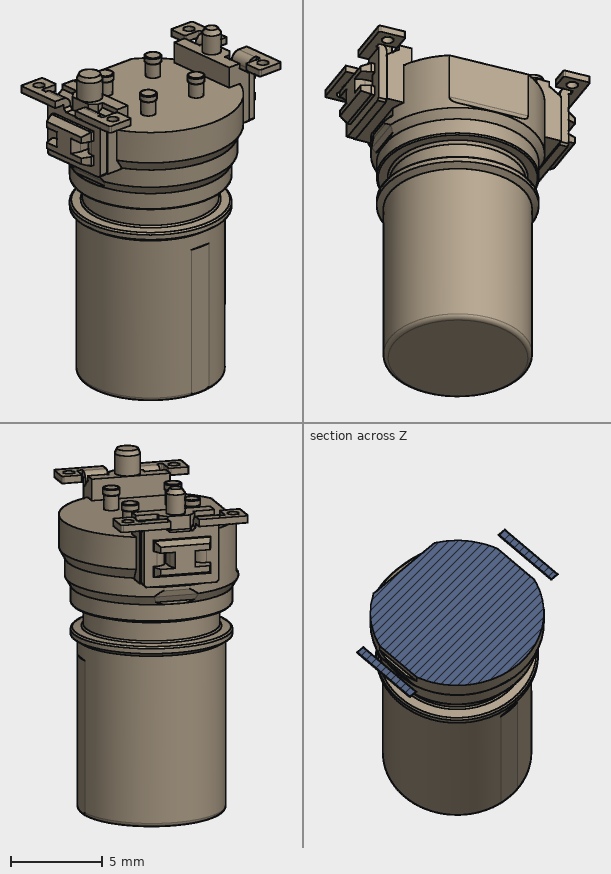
import cadquery as cq
import math

total_height = 19.35
barrel_radius = 4.09
barrel_edge_round = 0.25
flat_distance = 4.04
flat_top_z = 8.88
flange_radius = 4.46
flange_bottom_z = 9.73
flange_rim_z = 9.97
flange_top_z = 10.35
flange_top_chamfer = 0.1
neck_radius = 3.76
neck_corner = 0.1
neck_bottom_z = 10.41
collar_bottom_z = 11.75
collar_chamfer = 0.08
cone_bottom_z = 12.75
cone_top_z = 13.28
head_radius = 4.78
head_top_z = 16.73

big_radius = 5.10
big_cone_bottom_z = 14.32
big_cone_top_z = 14.90

side_flat_distance = 4.15
side_flat_bottom_z = 14.02
runout_radius = 0.55
runout_turn = math.radians(56)

recess_half_width = 1.52
recess_distance = 4.56
recess_bottom_z = 13.82
pad_distance = 4.72
pad_bottom_z = 13.62
pad_cone_distance = 4.61
pad_foot_distance = 4.42
pad_foot_z = 12.91

pin_circle_radius = 2.5
pin_offset = pin_circle_radius / math.sqrt(2)
pin_radius = 0.415
pin_head_radius = 0.475
pin_head_height = 0.40
pin_edge_chamfer = 0.05

clip_center_x = 0.03
clip_top_z = 17.95
block_half_width = 2.25
block_inner_y = 3.75
block_bottom_z = 14.27
notch_inner_y = 4.53
notch_floor_z = 17.66
notch_outer_z = 17.17
tongue_half_width = 1.03
tongue_chamfer = 0.38

plate_inner_y = 5.23
plate_outer_y = 5.72
plate_half_width = 2.15
plate_bottom_z = 14.15
plate_corner = 0.13
gap_half_width = 0.82
gap_bottom_z = 17.17
gap_corner = 0.18

ear_thickness = 0.40
ear_half_span = 3.65
ear_inner_y = 4.76
ear_outer_y = 6.35
ear_corner = 0.1
ear_slot_outer_x = 2.48
ear_slot_end_y = 5.85
bend_radius = 0.53
ear_hole_x = 3.02
ear_hole_y = 5.555
ear_hole_radius = 0.32

latch_half_width = 1.63
latch_bottom_z = 14.74
latch_top_z = 16.79
latch_base_y = 5.91
latch_outer_y = 6.45
latch_taper = 0.22
latch_slot_bottom_z = 15.31
latch_slot_top_z = 16.22
web_half_width = 0.57
web_foot_half_width = 0.74
slot_round_radius = 0.60
slot_round_end_x = 1.42

post_y = 4.52
post_chamfer_height = 0.27
front_post_radius = 0.71
front_post_tip_radius = 0.59
back_post_radius = 0.525
back_post_tip_radius = 0.335


def box(x0, x1, y0, y1, z0, z1):
    return cq.Workplane("XY").box(x1 - x0, y1 - y0, z1 - z0, centered=False).translate((x0, y0, z0))


def prism_along_x(points, x0, x1):
    """Extrude a (y, z) outline from x0 to x1."""
    return cq.Workplane("YZ").polyline(points).close().extrude(x1 - x0).translate((x0, 0, 0))


def revolve_about_z(profile):
    return profile.close().revolve(360, (0, 0, 0), (0, 1, 0))


def both_y_sides(shape):
    return shape.union(shape.mirror("XZ"))


def turned_body():
    profile = cq.Workplane("XZ").polyline([
        (0, 0),
        (barrel_radius, 0),
        (barrel_radius, flange_bottom_z),
        (flange_radius, flange_rim_z),
        (flange_radius, flange_top_z - flange_top_chamfer),
        (flange_radius - flange_top_chamfer, flange_top_z),
        (neck_radius + neck_corner, neck_bottom_z),
        (neck_radius, neck_bottom_z + neck_corner),
        (neck_radius, collar_bottom_z - 2 * neck_corner),
        (neck_radius + neck_corner, collar_bottom_z),
        (flange_radius - collar_chamfer, collar_bottom_z),
        (flange_radius, collar_bottom_z + collar_chamfer),
        (flange_radius, cone_bottom_z),
        (head_radius, cone_top_z),
        (head_radius, head_top_z),
        (0, head_top_z),
    ])
    body = revolve_about_z(profile).faces("<Z").edges().fillet(barrel_edge_round)
    beyond_flat = box(flat_distance, big_radius, -big_radius, big_radius, 0, flat_top_z)
    return body.cut(beyond_flat)


def enlarged_half():
    profile = cq.Workplane("XZ").polyline([
        (0, big_cone_bottom_z),
        (head_radius, big_cone_bottom_z),
        (big_radius, big_cone_top_z),
        (big_radius, head_top_z),
        (0, head_top_z),
    ])
    positive_x = box(0, big_radius, -big_radius, big_radius, 0, head_top_z)
    return revolve_about_z(profile).intersect(positive_x)


def side_flat_cutter():
    """Region removed at -X: a flat that curves out into a sloped shoulder."""
    arc_center_x = -side_flat_distance - runout_radius
    arc_mid = (
        arc_center_x + runout_radius * math.cos(runout_turn / 2),
        side_flat_bottom_z - runout_radius * math.sin(runout_turn / 2),
    )
    arc_end = (
        arc_center_x + runout_radius * math.cos(runout_turn),
        side_flat_bottom_z - runout_radius * math.sin(runout_turn),
    )
    slope_run = big_radius + arc_end[0]
    slope_end = (-big_radius, arc_end[1] - slope_run / math.tan(runout_turn))
    return (
        cq.Workplane("XZ")
        .moveTo(-side_flat_distance, head_top_z)
        .lineTo(-side_flat_distance, side_flat_bottom_z)
        .threePointArc(arc_mid, arc_end)
        .lineTo(*slope_end)
        .lineTo(-big_radius, head_top_z)
        .close()
        .extrude(big_radius, both=True)
    )


def under_clip_cutter():
    recess = box(
        -recess_half_width, recess_half_width,
        recess_distance, big_radius,
        recess_bottom_z, head_top_z,
    )
    pad_trim = prism_along_x(
        [
            (pad_distance, recess_bottom_z),
            (pad_distance, pad_bottom_z),
            (pad_cone_distance, cone_top_z),
            (pad_foot_distance, pad_foot_z),
            (pad_foot_distance, cone_bottom_z),
            (big_radius, cone_bottom_z),
            (big_radius, recess_bottom_z),
        ],
        -recess_half_width, recess_half_width,
    )
    return both_y_sides(recess.union(pad_trim))


def contact_pin():
    shank = cq.Workplane("XY").circle(pin_radius).extrude(clip_top_z - head_top_z)
    head = (
        cq.Workplane("XY")
        .workplane(offset=clip_top_z - head_top_z - pin_head_height)
        .circle(pin_head_radius)
        .extrude(pin_head_height)
        .edges()
        .chamfer(pin_edge_chamfer)
    )
    return shank.union(head).translate((0, 0, head_top_z))


def clip_block():
    block = box(
        -block_half_width, block_half_width,
        block_inner_y, plate_inner_y,
        block_bottom_z, clip_top_z,
    )
    notch = prism_along_x(
        [
            (notch_inner_y, clip_top_z),
            (notch_inner_y, notch_floor_z),
            (plate_inner_y, notch_outer_z),
            (plate_inner_y, clip_top_z),
        ],
        -block_half_width, block_half_width,
    )
    tongue = (
        box(
            -tongue_half_width, tongue_half_width,
            block_inner_y, plate_inner_y,
            block_bottom_z, clip_top_z,
        )
        .faces(">Y").edges("|Z").chamfer(tongue_chamfer)
    )
    return block.cut(notch.cut(tongue))


def bracket():
    plate = (
        box(
            -plate_half_width, plate_half_width,
            plate_inner_y, plate_outer_y,
            plate_bottom_z, clip_top_z,
        )
        .edges("<Z and |Y").chamfer(plate_corner)
    )
    full_strip = box(
        -ear_half_span, ear_half_span,
        ear_inner_y, ear_outer_y,
        clip_top_z - ear_thickness, clip_top_z,
    )
    between_ears = box(
        -ear_slot_outer_x, ear_slot_outer_x,
        ear_inner_y, ear_slot_end_y,
        clip_top_z - ear_thickness, clip_top_z,
    )
    ears = full_strip.cut(between_ears).edges("|Z").fillet(ear_corner)
    bend = box(
        -plate_half_width, plate_half_width,
        plate_inner_y, ear_outer_y,
        clip_top_z - ear_thickness, clip_top_z,
    )
    holes = (
        cq.Workplane("XY")
        .workplane(offset=clip_top_z - ear_thickness)
        .pushPoints([(-ear_hole_x, ear_hole_y), (ear_hole_x, ear_hole_y)])
        .circle(ear_hole_radius)
        .extrude(ear_thickness)
    )
    gap = (
        box(
            -gap_half_width, gap_half_width,
            plate_inner_y, ear_outer_y,
            gap_bottom_z, clip_top_z,
        )
        .edges("<Z and |Y").chamfer(gap_corner)
    )
    sheet = plate.union(bend).edges("<Y and >Z").fillet(bend_radius)
    return sheet.union(ears).cut(holes).cut(gap)


def latch_frame():
    height = latch_top_z - latch_bottom_z
    center_z = (latch_top_z + latch_bottom_z) / 2
    base = box(
        -latch_half_width, latch_half_width,
        plate_outer_y, latch_base_y,
        latch_bottom_z, latch_top_z,
    )
    tapered = (
        cq.Workplane(cq.Plane((0, latch_base_y, center_z), (1, 0, 0), (0, 1, 0)))
        .rect(2 * latch_half_width, height)
        .workplane(offset=latch_outer_y - latch_base_y)
        .rect(2 * (latch_half_width - latch_taper), height - 2 * latch_taper)
        .loft(ruled=True)
    )
    return base.union(tapered)


def latch_slot():
    """Side slot at +X: drafted web wall, narrow floor and a rounded plate edge."""
    round_center_y = plate_outer_y - slot_round_radius
    floor_x = slot_round_end_x - math.sqrt(slot_round_radius**2 - (plate_inner_y - round_center_y)**2)
    diagonal = slot_round_radius * math.sqrt(0.5)
    return (
        cq.Workplane("XY")
        .workplane(offset=latch_slot_bottom_z)
        .moveTo(web_half_width, latch_outer_y)
        .lineTo(web_foot_half_width, latch_base_y)
        .lineTo(web_foot_half_width, plate_inner_y)
        .lineTo(floor_x, plate_inner_y)
        .threePointArc(
            (slot_round_end_x - diagonal, round_center_y + diagonal),
            (slot_round_end_x, plate_outer_y),
        )
        .lineTo(latch_half_width, plate_outer_y)
        .lineTo(latch_half_width, latch_outer_y)
        .close()
        .extrude(latch_slot_top_z - latch_slot_bottom_z)
    )


def clip():
    slot = latch_slot()
    metal = bracket().union(latch_frame()).cut(slot).cut(slot.mirror("YZ"))
    return clip_block().union(metal).translate((clip_center_x, 0, 0))


def post(y, radius, tip_radius):
    profile = cq.Workplane("XZ").polyline([
        (0, clip_top_z),
        (radius, clip_top_z),
        (radius, total_height - post_chamfer_height),
        (tip_radius, total_height),
        (0, total_height),
    ])
    return revolve_about_z(profile).translate((0, y, 0))


result = turned_body().union(enlarged_half()).cut(side_flat_cutter()).cut(under_clip_cutter())
result = result.union(both_y_sides(clip()))
for x in (-pin_offset, pin_offset):
    for y in (-pin_offset, pin_offset):
        result = result.union(contact_pin().translate((x, y, 0)))
result = result.union(post(-post_y, front_post_radius, front_post_tip_radius))
result = result.union(post(post_y, back_post_radius, back_post_tip_radius))